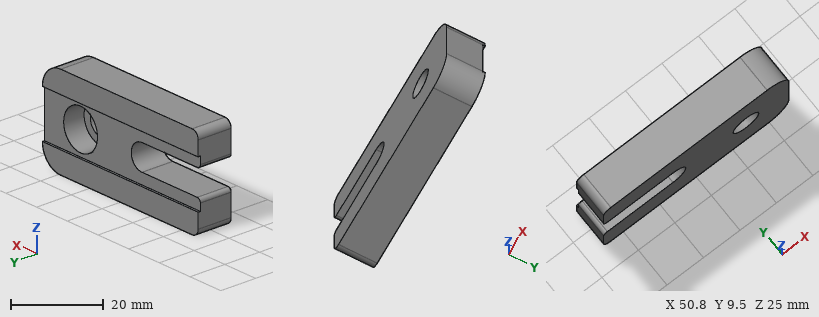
import cadquery as cq

length = 50.8
thickness = 9.5
height = 25.0
closed_end_radius = 6.0
open_end_radius = 2.0

bore_diameter = 7.0
slot_center_x = 19.0
slot_mouth_radius = 1.0
hole_center_x = 39.0

counterbore_diameter = 11.0
counterbore_floor_y = 3.0

channel_width = 13.0
channel_depth = 0.6


def cylinder_along_y(diameter, center_x, start_y):
    """Cylinder on the centre line from start_y to the back face."""
    return (
        cq.Workplane("XZ", origin=(center_x, start_y, 0))
        .circle(diameter / 2)
        .extrude(start_y - thickness)
    )


def make_plate():
    plate = cq.Workplane("XY").box(length, thickness, height, centered=(False, False, True))
    plate = plate.edges("|Y and >X").fillet(closed_end_radius)
    return plate.edges("|Y and <X").fillet(open_end_radius)


def cut_slot(body):
    straight = cq.Workplane("XY").box(
        slot_center_x, thickness, bore_diameter, centered=(False, False, True)
    )
    body = body.cut(straight).cut(cylinder_along_y(bore_diameter, slot_center_x, 0))
    mouth_corners = cq.selectors.BoxSelector(
        (-0.5, -0.5, -bore_diameter / 2 - 0.5), (0.5, thickness + 0.5, bore_diameter / 2 + 0.5)
    )
    return body.edges("|Y").edges(mouth_corners).fillet(slot_mouth_radius)


def cut_counterbored_hole(body):
    body = body.cut(cylinder_along_y(bore_diameter, hole_center_x, 0))
    return body.cut(cylinder_along_y(counterbore_diameter, hole_center_x, counterbore_floor_y))


def cut_back_channel(body):
    channel = (
        cq.Workplane("XY")
        .box(length, channel_depth, channel_width, centered=(False, False, True))
        .translate((0, thickness - channel_depth, 0))
    )
    return body.cut(channel)


result = cut_back_channel(cut_counterbored_hole(cut_slot(make_plate())))